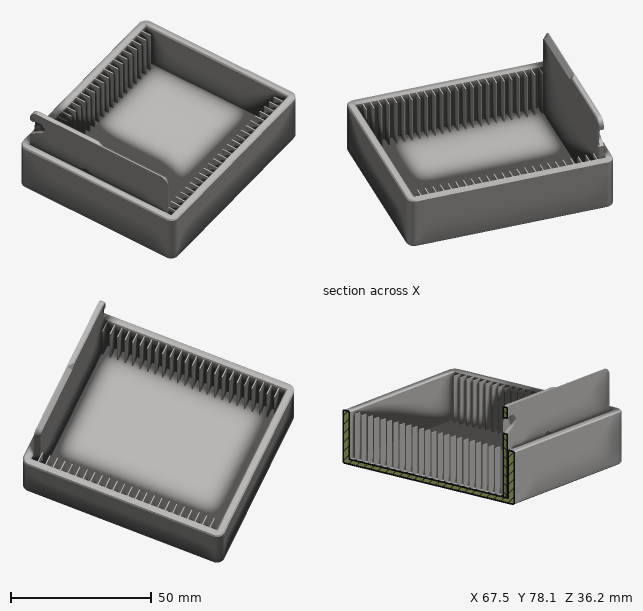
import cadquery as cq
TRAY_WIDTH = 67.5
TRAY_LENGTH = 78.1
TRAY_HEIGHT = 20.0
WALL = 3.0
FLOOR = 2.0
CORNER_RADIUS = 3.0
EDGE_CHAMFER = 0.5
INNER_WIDTH = TRAY_WIDTH - 2 * WALL
INNER_LENGTH = TRAY_LENGTH - 2 * WALL

RIB_COUNT = 24
RIB_THICKNESS = 0.4
RIB_REACH = 4.0
RIB_TOP = TRAY_HEIGHT - EDGE_CHAMFER
RIB_PITCH = (INNER_LENGTH + RIB_THICKNESS) / (RIB_COUNT + 1)
SLOT = RIB_PITCH - RIB_THICKNESS

CARD_TOP = 36.2
CARD_WIDTH = 60.0
CARD_THICKNESS = 2.0
CARD_RADIUS = 3.0
CARD_LEFT = -INNER_WIDTH / 2
CARD_RIGHT = CARD_LEFT + CARD_WIDTH
CARD_FRONT = -INNER_LENGTH / 2 + (SLOT - CARD_THICKNESS) / 2
CARD_BACK = CARD_FRONT + CARD_THICKNESS

LIGHT_CHAMFER = 0.4
DEEP_CHAMFER = 1.7
DEEP_CHAMFER_START = -0.5
CHAMFER_RUN_IN = 2.4

NOTCH_DEPTH = 1.5
NOTCH_FLOOR = CARD_FRONT + NOTCH_DEPTH
NOTCH_BOTTOM = 24.9
NOTCH_MOUTH_TOP = 31.95
NOTCH_LIP = (1.0, 31.4)
NOTCH_RAMP_TOP = (2.7, 32.3)
NOTCH_TOP = (5.15, 32.3)
NOTCH_TIP = (6.7, 30.2)
NOTCH_RAMP_FOOT = (5.2, 28.3)
WEB_INSET_BOTTOM = 0.6
WEB_INSET_TOP = 1.25

HEX_X = -6.25
HEX_TOP = 21.3
HEX_RADIUS = 4.7
HEX_DEPTH = 0.6


def make_ribs():
    """Two rows of thin vertical ribs, standing on the floor against the side walls."""
    ribs = []
    first_y = -INNER_LENGTH / 2 + SLOT + RIB_THICKNESS / 2
    rib_x = (INNER_WIDTH - RIB_REACH) / 2
    for index in range(RIB_COUNT):
        rib_y = first_y + index * RIB_PITCH
        for side in (-1, 1):
            rib = cq.Workplane("XY").box(RIB_REACH, RIB_THICKNESS, RIB_TOP - FLOOR, (True, True, False))
            ribs.append(rib.translate((side * rib_x, rib_y, FLOOR)))
    return ribs


def make_tray():
    """Box with rounded corners, chamfered rims and ribs inside."""
    tray = cq.Workplane("XY").box(TRAY_WIDTH, TRAY_LENGTH, TRAY_HEIGHT, (True, True, False))
    tray = tray.edges("|Z").fillet(CORNER_RADIUS)
    tray = tray.faces("<Z or >Z").chamfer(EDGE_CHAMFER)
    cavity = cq.Workplane("XY").workplane(offset=FLOOR).rect(INNER_WIDTH, INNER_LENGTH).extrude(TRAY_HEIGHT)
    rim_flare = (
        cq.Workplane("XY")
        .workplane(offset=TRAY_HEIGHT - EDGE_CHAMFER)
        .rect(INNER_WIDTH, INNER_LENGTH)
        .workplane(offset=EDGE_CHAMFER)
        .rect(INNER_WIDTH + 2 * EDGE_CHAMFER, INNER_LENGTH + 2 * EDGE_CHAMFER)
        .loft(ruled=True)
    )
    tray = tray.cut(cavity).cut(rim_flare)
    for rib in make_ribs():
        tray = tray.union(rib)
    return tray


def card_blank():
    """Plain card with its two top corners rounded."""
    blank = cq.Workplane("XY").box(CARD_WIDTH, CARD_THICKNESS, CARD_TOP - FLOOR, False)
    blank = blank.translate((CARD_LEFT, CARD_FRONT, FLOOR))
    return blank.edges("|Y and >Z").fillet(CARD_RADIUS)


def card_part(chamfer, x_from, x_to):
    """Stretch of the card between two X values, with its back edge chamfered except at the bottom."""
    whole = card_blank().faces(">Y").edges("not <Z").chamfer(chamfer)
    keep = cq.Workplane("XY").box(x_to - x_from, CARD_THICKNESS, CARD_TOP, False)
    return whole.intersect(keep.translate((x_from, CARD_FRONT, 0)))


def chamfer_run_in():
    """Tetrahedron that lets the deep chamfer fade out towards the left."""
    ridge = (DEEP_CHAMFER_START, CARD_BACK - DEEP_CHAMFER, CARD_TOP)
    corner = (DEEP_CHAMFER_START, CARD_BACK, CARD_TOP)
    foot = (DEEP_CHAMFER_START, CARD_BACK, CARD_TOP - DEEP_CHAMFER)
    start = (DEEP_CHAMFER_START - CHAMFER_RUN_IN, CARD_BACK, CARD_TOP)
    sides = [(ridge, corner, foot), (ridge, corner, start), (corner, foot, start), (ridge, foot, start)]
    faces = [cq.Face.makeFromWires(cq.Wire.makePolygon(side, close=True)) for side in sides]
    return cq.Workplane(cq.Solid.makeSolid(cq.Shell.makeShell(faces)))


def ruled_solid(first, second):
    """Solid with straight sides between two polygons."""
    wires = [cq.Wire.makePolygon([cq.Vector(*p) for p in points], close=True) for points in (first, second)]
    return cq.Workplane(cq.Solid.makeLoft(wires, True))


def notch_point(corner, y):
    """Corner of the notch placed at depth Y."""
    return (CARD_LEFT + corner[0], y, corner[1])


def notch():
    """Flat-floored notch with a ramp at its inner end and a cut-back web edge."""
    left = CARD_LEFT
    outline = [(left, NOTCH_BOTTOM), (left, NOTCH_MOUTH_TOP)]
    outline += [(left + x, z) for x, z in (NOTCH_LIP, NOTCH_RAMP_TOP, NOTCH_RAMP_FOOT)]
    pocket = cq.Workplane("XZ", origin=(0, CARD_FRONT, 0)).polyline(outline).close().extrude(-NOTCH_DEPTH)

    def ramp_section(inner, outer):
        return [notch_point(inner, NOTCH_FLOOR), notch_point(inner, CARD_FRONT), notch_point(outer, CARD_FRONT)]

    ramp = ruled_solid(ramp_section(NOTCH_RAMP_TOP, NOTCH_TOP), ramp_section(NOTCH_RAMP_FOOT, NOTCH_TIP))

    web = CARD_BACK - NOTCH_FLOOR

    def web_section(inset, z):
        return [
            (left, NOTCH_FLOOR, z),
            (left + inset, NOTCH_FLOOR, z),
            (left + inset + web, CARD_BACK, z),
            (left, CARD_BACK, z),
        ]

    web_cut = ruled_solid(
        web_section(WEB_INSET_BOTTOM, NOTCH_BOTTOM), web_section(WEB_INSET_TOP, NOTCH_LIP[1])
    )
    return pocket.union(ramp).union(web_cut)


def hex_recess():
    """Shallow hexagonal recess with a corner pointing up."""
    plane = cq.Workplane("XZ", origin=(HEX_X, CARD_FRONT, HEX_TOP - HEX_RADIUS))
    return plane.transformed(rotate=(0, 0, 90)).polygon(6, 2 * HEX_RADIUS).extrude(-HEX_DEPTH)


def make_card():
    """Card with rounded corners, two kinds of back chamfer, edge notch and hexagonal recess."""
    left_part = card_part(LIGHT_CHAMFER, CARD_LEFT, DEEP_CHAMFER_START)
    right_part = card_part(DEEP_CHAMFER, DEEP_CHAMFER_START, CARD_RIGHT)
    card = left_part.union(right_part)
    return card.cut(chamfer_run_in()).cut(notch()).cut(hex_recess())


tray = make_tray()
card = make_card()
result = cq.Compound.makeCompound([tray.solids().val(), card.solids().val()])